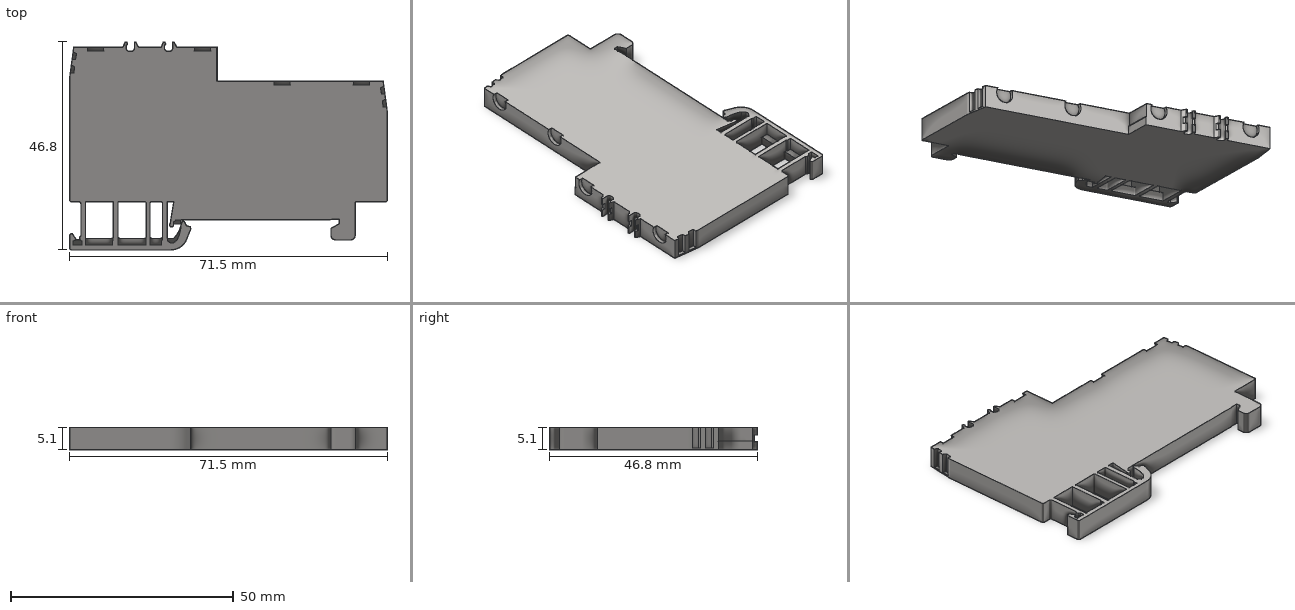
import cadquery as cq
import math


length = 71.5
height = 46.8
thickness = 5.1
floor_z = 2.0
overlap = 0.5
outside = 1.0

body_bottom = 10.85
rail_face = 6.8
left_top = 45.7
right_top = 38.0
shoulder_x = 33.3
shoulder_ledge = 0.2
bevel_width = 0.9
bevel_height = 6.7
corner_radius = 0.4

rail_ramp_start = 58.55
rail_ramp_end = 59.2
rail_relief = 0.12

hook_right = 64.3
hook_neck = 60.65
hook_neck_y = 5.9
hook_tip = 58.8
hook_tip_y = 4.9
hook_bottom = 2.25
hook_radius = 1.1
hook_root_radius = 0.25

lip_slot_right = 23.4
lip_point_left = (22.6, 5.95)
lip_point_bottom = (22.85, 5.2)
lip_right = 23.4
lip_point_y = 5.6
lip_undercut_y = 6.3
lip_end_x = 23.95

bar_thickness = 1.1
bar_corner = 0.45
bar_straight_end = 22.75
latch_bend_end = (26.5, 2.8)
latch_outer_tip = (27.28, 4.7)
latch_step_outer = (27.2, 5.25)
latch_step_inner = (26.3, 5.5)
latch_nose = (25.85, 6.4)
latch_nose_tip = (25.4, 6.55)
latch_inner_top = (25.1, 5.9)
latch_inner_middle = (24.85, 4.0)
latch_inner_bottom = (24.2, 2.3)
latch_root_y = 1.6
latch_root_left = 22.7
latch_root_right = 23.4
latch_shoulder_y = 2.1
latch_web_middle = (24.5, 4.1)
lip_web_bottom = 5.85
lip_web_right = 24.95

posts = [(2.5, 3.6), (9.8, 10.9), (17.2, 18.1), (20.85, 22.0)]
floor_top = 2.65
flared_windows = [True, False, True]
flare_width = 0.2
flare_top = floor_top - 0.3
flare_bottom = floor_top - 0.8
window_rounding = [">X and <Y", ">X or <Y", "|Z"]
window_radius = 0.3
post_root_radius = 0.45

end_wall = 0.7
end_wall_top = 3.7
end_wall_flat = 0.6
end_hook_reach = 1.5
end_hook_y = 2.35
end_pocket_top = 2.0
end_pocket_right = 2.75
foot_fillet_x = posts[0][0] - 0.25
foot_fillet_low = 2.9
foot_fillet_high = 3.2

prong_starts = [12.0, 20.6]
prong_base = 3.5
prong_slot_left = 0.75
prong_slot_width = 1.8
prong_slot_bottom = 44.75
prong_slot_radius = 0.67
prong_rise = 0.45
prong_top_end = 0.85
barb_reach = 1.05
barb_drop = 0.4
barb_bottom_drop = 0.8
right_prong_top = 0.35
prong_notch_z = 1.85
prong_notch_width = 1.5
prong_notch_depth = 0.7

scoop_radius = 2.1
scoop_width = 3.6
scoop_depth = 0.9
left_scoops = [5.85, 29.9]
right_scoops = [47.85, 65.65]

end_pockets = [
    [(0.3, 0.85), (1.55, 1.5), (1.3, 2.85)],
    [(0.2, 3.85), (1.1, 4.5), (0.95, 5.85)],
]
pocket_floor_z = 0.4


def plate(points, z_bottom=0.0, z_top=thickness):
    """Prism with the given XY outline between two heights."""
    return cq.Workplane("XY", origin=(0, 0, z_bottom)).polyline(points).close().extrude(z_top - z_bottom)


def box(x0, x1, y0, y1, z0=0.0, z1=thickness):
    """Axis-aligned block given by its limits."""
    return cq.Workplane("XY").box(x1 - x0, y1 - y0, z1 - z0, centered=False).translate((x0, y0, z0))


def round_corner(shape, x, y, radius):
    """Round the upright edge that stands at the given XY position."""
    reach = 0.1
    selector = cq.selectors.BoxSelector((x - reach, y - reach, 0), (x + reach, y + reach, thickness))
    return shape.edges("|Z").edges(selector).fillet(radius)


def make_body():
    """Housing plate with slanted ends, the lip on the left and the rail hook on the right."""
    body = (
        cq.Workplane("XY")
        .moveTo(0, body_bottom)
        .lineTo(lip_slot_right, body_bottom)
        .lineTo(*lip_point_left)
        .threePointArc(lip_point_bottom, (lip_right, lip_point_y))
        .lineTo(lip_right, lip_undercut_y)
        .lineTo(lip_end_x, rail_face)
        .lineTo(rail_ramp_start, rail_face)
        .lineTo(rail_ramp_end, rail_face + rail_relief)
        .lineTo(hook_neck, rail_face + rail_relief)
        .lineTo(hook_neck, hook_neck_y)
        .lineTo(hook_tip, hook_tip_y)
        .lineTo(hook_tip, hook_bottom)
        .lineTo(hook_right, hook_bottom)
        .lineTo(hook_right, body_bottom)
        .lineTo(length, body_bottom)
        .lineTo(length, right_top - bevel_height)
        .lineTo(length - bevel_width, right_top)
        .lineTo(shoulder_x, right_top)
        .lineTo(shoulder_x, left_top)
        .lineTo(bevel_width, left_top)
        .lineTo(0, left_top - bevel_height)
        .close()
        .extrude(thickness)
    )
    for x in (hook_tip, hook_right):
        body = round_corner(body, x, hook_bottom, hook_radius)
    for x in (0, length):
        body = round_corner(body, x, body_bottom, corner_radius)
    body = round_corner(body, hook_right, body_bottom, hook_root_radius)
    ledge = box(shoulder_x - shoulder_ledge, shoulder_x, right_top, left_top, floor_z)
    return body.cut(ledge)


def make_latch_bar():
    """Bottom bar that curves up into the spring latch at its right end."""
    post_left, post_right = posts[-1]
    return (
        cq.Workplane("XY")
        .moveTo(0, 0)
        .lineTo(bar_straight_end, 0)
        .tangentArcPoint(latch_bend_end, relative=False)
        .lineTo(*latch_outer_tip)
        .lineTo(*latch_step_outer)
        .lineTo(*latch_step_inner)
        .lineTo(*latch_nose)
        .lineTo(*latch_nose_tip)
        .lineTo(*latch_inner_top)
        .threePointArc(latch_inner_middle, latch_inner_bottom)
        .lineTo(latch_root_right, latch_root_y)
        .lineTo(latch_root_left, latch_root_y)
        .lineTo(post_right, latch_shoulder_y)
        .lineTo(post_left, latch_shoulder_y)
        .lineTo(post_left, bar_thickness)
        .lineTo(0, bar_thickness)
        .close()
        .extrude(thickness)
    )


def make_latch_floor():
    """Lower-layer webs that stiffen the curved latch and the lip above it."""
    post_right = posts[-1][1]
    latch_web = (
        cq.Workplane("XY")
        .moveTo(post_right, bar_thickness)
        .lineTo(post_right, floor_top)
        .lineTo(latch_root_right, floor_top)
        .threePointArc(latch_web_middle, latch_inner_top)
        .lineTo(latch_inner_top[0], latch_inner_middle[1])
        .lineTo(latch_inner_bottom[0], bar_thickness)
        .close()
        .extrude(floor_z)
    )
    lip_web = plate([
        (lip_right, rail_face),
        (lip_right, lip_web_bottom),
        (lip_web_right, lip_web_bottom),
        (latch_inner_top[0], rail_face),
    ], 0, floor_z)
    return latch_web.union(lip_web)


def make_window(index):
    """Opening between two neighbouring posts: right through above the floor, shallow over it."""
    left = posts[index][1]
    right = posts[index + 1][0]
    through = box(left, right, floor_top, body_bottom)
    through = through.edges("|Z").edges(window_rounding[index]).fillet(window_radius)
    foot_right = right - flare_width if flared_windows[index] else right
    recess_top = floor_top + window_radius
    recess = plate([
        (left, bar_thickness),
        (foot_right, bar_thickness),
        (foot_right, flare_bottom),
        (right, flare_top),
        (right, recess_top),
        (left, recess_top),
    ], floor_z)
    return through.union(recess)


def make_end_hook():
    """Hook at the free left end of the bar, joined to the base of the first post."""
    post_inside = posts[0][0] + overlap
    return plate([
        (0, bar_thickness),
        (post_inside, bar_thickness),
        (post_inside, foot_fillet_high),
        (posts[0][0], foot_fillet_high),
        (foot_fillet_x, foot_fillet_low),
        (foot_fillet_x, end_hook_y),
        (end_hook_reach, end_hook_y),
        (end_wall_flat, end_wall_top),
        (0, end_wall_top),
    ])


def make_end_pocket():
    """Shallow pocket beneath the end hook, open towards the first post."""
    return plate([
        (end_wall, bar_thickness),
        (end_pocket_right, bar_thickness),
        (end_pocket_right, end_pocket_top),
        (foot_fillet_x, end_hook_y),
        (end_hook_reach, end_hook_y),
        (end_wall, end_pocket_top),
    ], floor_z)


def make_foot():
    """Latch bar, posts, window floors and end hook."""
    post_block = box(posts[0][0], posts[-1][1], bar_thickness - overlap, body_bottom + overlap)
    foot = make_latch_bar().union(post_block)
    for index in range(len(posts) - 1):
        foot = foot.cut(make_window(index))
    foot = foot.union(make_end_hook()).cut(make_end_pocket()).union(make_latch_floor())
    for y in (0, end_wall_top):
        foot = round_corner(foot, 0, y, bar_corner)
    return foot


def make_prong_pair(start):
    """Two marker prongs, the left one barbed, with a notch across their tips."""
    slot_left = start + prong_slot_left
    slot_right = slot_left + prong_slot_width
    end = start + prong_base
    root = left_top - overlap
    left = plate([
        (start, root),
        (start, left_top),
        (start + prong_rise, height),
        (start + prong_top_end, height),
        (start + barb_reach, height - barb_drop),
        (slot_left, height - barb_bottom_drop),
        (slot_left, root),
    ])
    right = plate([
        (slot_right, root),
        (slot_right, height),
        (slot_right + right_prong_top, height),
        (end, left_top),
        (end, root),
    ])
    notch = box(start, end, height - prong_notch_depth, height,
                prong_notch_z, prong_notch_z + prong_notch_width)
    return left.union(right).cut(notch)


def make_prong_slot(start):
    """Round-bottomed slot in the body between the prongs of a pair."""
    slot_left = start + prong_slot_left
    slot = box(slot_left, slot_left + prong_slot_width, prong_slot_bottom, left_top)
    return slot.edges("|Z and <Y").fillet(prong_slot_radius)


def make_scoop(x, top):
    """Round-bottomed groove with undercut sides in the upper face, open at the top edge."""
    axis_depth = math.sqrt(scoop_radius ** 2 - (scoop_width / 2) ** 2)
    return (
        cq.Workplane("XZ", origin=(x, top, thickness - axis_depth))
        .circle(scoop_radius)
        .extrude(scoop_depth)
    )


def make_end_pockets(top):
    """Two pockets in the slanted left edge below a top corner at the given height."""
    pockets = cq.Workplane("XY")
    for mouth, inner_upper, inner_lower in end_pockets:
        corners = [(x, top - drop) for x, drop in (mouth, inner_upper, inner_lower)]
        outer_upper = (-outside, top - mouth[1])
        outer_lower = (-outside, top - inner_lower[1])
        pockets = pockets.union(plate([outer_upper] + corners + [outer_lower], pocket_floor_z))
    return pockets


result = make_body().union(make_foot())
result = round_corner(result, posts[0][0], body_bottom, post_root_radius)

for prong_start in prong_starts:
    result = result.cut(make_prong_slot(prong_start)).union(make_prong_pair(prong_start))

for scoop_x in left_scoops:
    result = result.cut(make_scoop(scoop_x, left_top))
for scoop_x in right_scoops:
    result = result.cut(make_scoop(scoop_x, right_top))

result = result.cut(make_end_pockets(left_top))
result = result.cut(make_end_pockets(right_top).mirror("YZ").translate((length, 0, 0)))